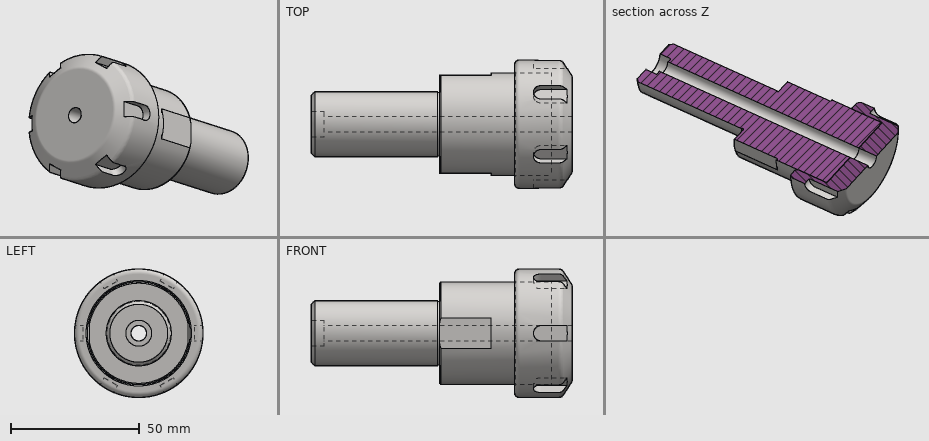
import cadquery as cq
import math

LENGTH = 101.5
NECK_START = 49.1
BODY_START = 49.9
NUT_START = 79.0
SOCKET_END = 93.4

SHANK_DIAMETER = 25.4
SHANK_CHAMFER = 1.4
NECK_DIAMETER = 24.8
BODY_DIAMETER = 40.0
BODY_CHAMFER = 0.5
BORE_DIAMETER = 6.0
COUNTERBORE_DIAMETER = 10.0
COUNTERBORE_DEPTH = 5.0
FLAT_SPACING = 38.2
FLAT_LENGTH = 20.0

NUT_DIAMETER = 50.0
NUT_FILLET = 2.0
NUT_FACE_CORNER_RADIUS = 18.7
CONE_HALF_ANGLE = 57.0
MOUTH_CHAMFER = 0.5

SLOT_COUNT = 6
SLOT_WIDTH = 6.0
SLOT_START = 86.4
SLOT_FLOOR_RADIUS = 21.7


def x_cylinder(diameter, start, end):
    """Solid cylinder on the X axis between two X positions."""
    return cq.Workplane("YZ", origin=(start, 0, 0)).circle(diameter / 2).extrude(end - start)


def make_holder():
    """Stepped shank and body with a stepped bore and two wrench flats."""
    shank = x_cylinder(SHANK_DIAMETER, 0, NECK_START).faces("<X").chamfer(SHANK_CHAMFER)
    neck = x_cylinder(NECK_DIAMETER, NECK_START, BODY_START)
    body = x_cylinder(BODY_DIAMETER, BODY_START, SOCKET_END).faces("<X").chamfer(BODY_CHAMFER)

    for side in (-1, 1):
        flat_cutter = cq.Workplane("XY").box(FLAT_LENGTH, BODY_DIAMETER, BODY_DIAMETER)
        cutter_y = side * (FLAT_SPACING + BODY_DIAMETER) / 2
        body = body.cut(flat_cutter.translate((BODY_START + FLAT_LENGTH / 2, cutter_y, 0)))

    holder = shank.union(neck).union(body)
    holder = holder.cut(x_cylinder(BORE_DIAMETER, 0, SOCKET_END))
    return holder.cut(x_cylinder(COUNTERBORE_DIAMETER, 0, COUNTERBORE_DEPTH))


def make_slot_cutter():
    """Cutter for the slot on the -Y side: rounded at the back, open at the front."""
    outer_radius = NUT_DIAMETER / 2
    half_width = SLOT_WIDTH / 2
    return (
        cq.Workplane("XZ", origin=(0, -SLOT_FLOOR_RADIUS, 0))
        .moveTo(LENGTH, -half_width)
        .lineTo(SLOT_START + half_width, -half_width)
        .threePointArc((SLOT_START, 0), (SLOT_START + half_width, half_width))
        .lineTo(LENGTH, half_width)
        .close()
        .extrude(outer_radius - SLOT_FLOOR_RADIUS)
    )


def make_nut():
    """Clamping nut with a conical nose, a socket for the body and wrench slots."""
    outer_radius = NUT_DIAMETER / 2
    cone_drop = outer_radius - NUT_FACE_CORNER_RADIUS
    cone_start = LENGTH - cone_drop / math.tan(math.radians(CONE_HALF_ANGLE))
    nut = (
        cq.Workplane("XY")
        .moveTo(NUT_START, 0)
        .lineTo(NUT_START, outer_radius)
        .lineTo(cone_start, outer_radius)
        .lineTo(LENGTH, NUT_FACE_CORNER_RADIUS)
        .lineTo(LENGTH, 0)
        .close()
        .revolve(360, (0, 0, 0), (1, 0, 0))
        .edges("%CIRCLE")
        .fillet(NUT_FILLET)
    )

    socket = x_cylinder(BODY_DIAMETER, NUT_START, SOCKET_END)
    nut = nut.cut(socket).cut(x_cylinder(BORE_DIAMETER, SOCKET_END, LENGTH))
    nut = nut.faces("<X").edges(cq.selectors.RadiusNthSelector(0)).chamfer(MOUTH_CHAMFER)

    slot_cutter = make_slot_cutter()
    for index in range(SLOT_COUNT):
        nut = nut.cut(slot_cutter.rotate((0, 0, 0), (1, 0, 0), index * 360 / SLOT_COUNT))
    return nut


holder = make_holder()
nut = make_nut()
result = cq.Compound.makeCompound([holder.val(), nut.val()])